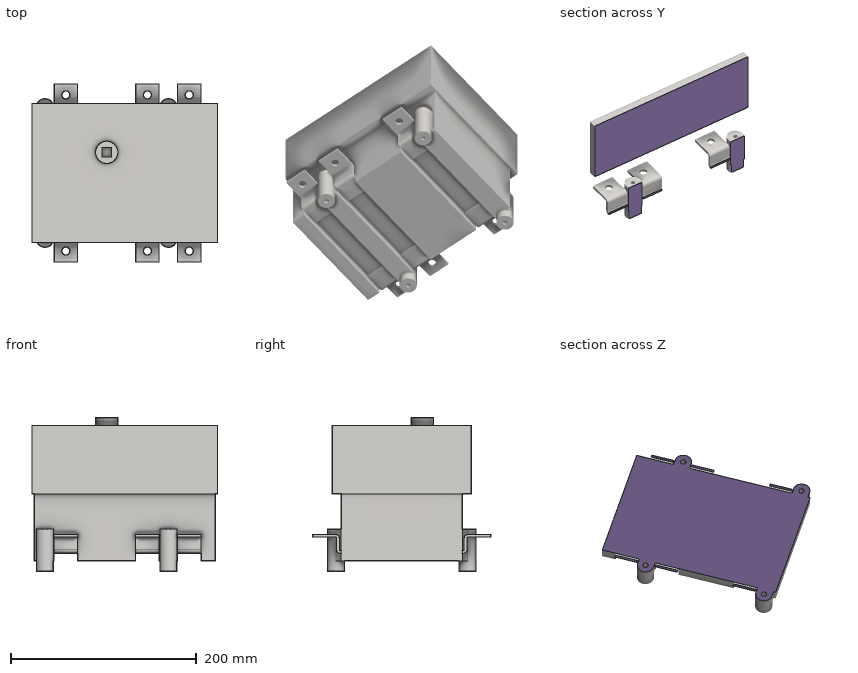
import cadquery as cq


COVER_X = 200.0
COVER_Y = 150.0
COVER_HEIGHT = 73.8
BASE_X = 195.2
BASE_Y = 130.5
BASE_HEIGHT = 72.0

HUB_X = -19.5
HUB_Y = 22.2
HUB_DIAMETER = 24.0
HUB_HEIGHT = 8.5
SOCKET_SIDE = 10.5
SOCKET_DEPTH = 12.0

POLE_PITCH = 45.0
LEFT_POLE_X = -63.5
MIDDLE_POLE_X = 24.5
RIGHT_POLE_X = MIDDLE_POLE_X + POLE_PITCH
POLE_POSITIONS = (LEFT_POLE_X, MIDDLE_POLE_X, RIGHT_POLE_X)
SIDES = (-1, 1)
TERMINAL_WIDTH = 25.5
TERMINAL_THICKNESS = 3.0
BEND_INNER_RADIUS = 1.0
BEND_OUTER_RADIUS = BEND_INNER_RADIUS + TERMINAL_THICKNESS
TERMINAL_BOTTOM_Z = 8.0
TERMINAL_TOP_Z = 28.5
TERMINAL_TIP_Y = 96.0
TERMINAL_FOOT_LENGTH = 20.0
TERMINAL_HOLE_DIAMETER = 8.5
TERMINAL_HOLE_Y = 84.0
LEG_WALL_GAP = 2.0
LEG_BACK_Y = BASE_Y / 2 + LEG_WALL_GAP
LEG_FRONT_Y = LEG_BACK_Y + TERMINAL_THICKNESS
FOOT_TOP_Z = TERMINAL_BOTTOM_Z + TERMINAL_THICKNESS

POST_POSITIONS = (LEFT_POLE_X - POLE_PITCH / 2, MIDDLE_POLE_X + POLE_PITCH / 2)
POST_DIAMETER = 18.5
POST_Y = 70.8
POST_BOTTOM_Z = -11.5
POST_TOP_Z = 34.0
POST_HEIGHT = POST_TOP_Z - POST_BOTTOM_Z
POST_HOLE_DIAMETER = 5.0


def block(size_x, size_y, bottom, height):
    """Box centred on the Z axis, standing on the height `bottom`."""
    return cq.Workplane("XY").workplane(offset=bottom).rect(size_x, size_y).extrude(height)


def cylinder(x, y, diameter, bottom, height):
    """Upright cylinder standing on the height `bottom`."""
    return cq.Workplane("XY", origin=(x, y, bottom)).circle(diameter / 2).extrude(height)


def make_post(x, side):
    """Round post and the flat-sided web that joins its upper part to the base wall."""
    post = cylinder(x, side * POST_Y, POST_DIAMETER, POST_BOTTOM_Z, POST_HEIGHT)
    web = block(POST_DIAMETER, POST_Y, 0, POST_TOP_Z).translate((x, side * POST_Y / 2, 0))
    return post.union(web)


def make_housing():
    """Base and cover with posts, drive hub, and a slot under the base at every pole."""
    cover_top = BASE_HEIGHT + COVER_HEIGHT
    hub_top = cover_top + HUB_HEIGHT

    housing = block(BASE_X, BASE_Y, 0, BASE_HEIGHT)
    housing = housing.union(block(COVER_X, COVER_Y, BASE_HEIGHT, COVER_HEIGHT))
    housing = housing.union(cylinder(HUB_X, HUB_Y, HUB_DIAMETER, cover_top, HUB_HEIGHT))

    socket = block(SOCKET_SIDE, SOCKET_SIDE, hub_top - SOCKET_DEPTH, SOCKET_DEPTH)
    housing = housing.cut(socket.translate((HUB_X, HUB_Y, 0)))

    for x in POST_POSITIONS:
        for side in SIDES:
            housing = housing.union(make_post(x, side))
            hole = cylinder(x, side * POST_Y, POST_HOLE_DIAMETER, POST_BOTTOM_Z, POST_HEIGHT)
            housing = housing.cut(hole)

    for x in POLE_POSITIONS:
        slot = block(TERMINAL_WIDTH, BASE_Y, 0, FOOT_TOP_Z)
        housing = housing.cut(slot.translate((x, 0, 0)))
    return housing


def make_terminal(x, side):
    """Strap with a foot under the slot ceiling, a leg standing off the base wall and a drilled tab."""
    foot_end_y = BASE_Y / 2 - TERMINAL_FOOT_LENGTH
    tab_bottom_z = TERMINAL_TOP_Z - TERMINAL_THICKNESS
    profile = [
        (foot_end_y, TERMINAL_BOTTOM_Z),
        (LEG_FRONT_Y, TERMINAL_BOTTOM_Z),
        (LEG_FRONT_Y, tab_bottom_z),
        (TERMINAL_TIP_Y, tab_bottom_z),
        (TERMINAL_TIP_Y, TERMINAL_TOP_Z),
        (LEG_BACK_Y, TERMINAL_TOP_Z),
        (LEG_BACK_Y, FOOT_TOP_Z),
        (foot_end_y, FOOT_TOP_Z),
    ]
    strap = cq.Workplane("YZ").polyline(profile).close().extrude(TERMINAL_WIDTH / 2, both=True)

    outer_corners = ((LEG_FRONT_Y, TERMINAL_BOTTOM_Z), (LEG_BACK_Y, TERMINAL_TOP_Z))
    inner_corners = ((LEG_FRONT_Y, tab_bottom_z), (LEG_BACK_Y, FOOT_TOP_Z))
    for corners, radius in ((outer_corners, BEND_OUTER_RADIUS), (inner_corners, BEND_INNER_RADIUS)):
        for y, z in corners:
            strap = strap.edges(cq.selectors.NearestToPointSelector((0, y, z))).fillet(radius)

    hole = cylinder(0, TERMINAL_HOLE_Y, TERMINAL_HOLE_DIAMETER, tab_bottom_z, TERMINAL_THICKNESS)
    terminal = strap.cut(hole)
    if side < 0:
        terminal = terminal.mirror("XZ")
    return terminal.translate((x, 0, 0))


housing = make_housing()
terminals = [make_terminal(x, side) for x in POLE_POSITIONS for side in SIDES]

result = cq.Compound.makeCompound([housing.val(), *[terminal.val() for terminal in terminals]])